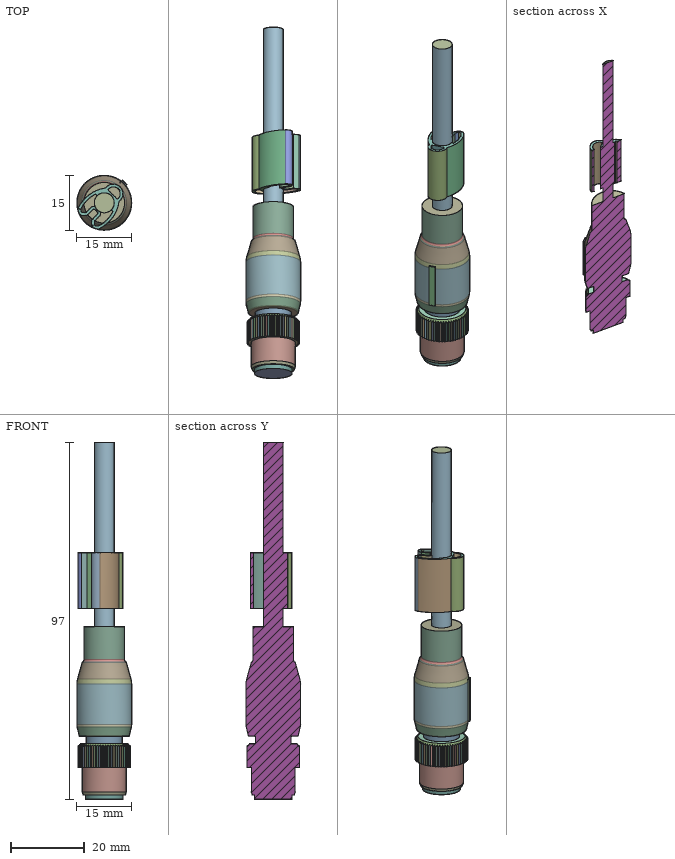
import cadquery as cq
import math

total_height = 97.0
cable_radius = 2.7

nose_radius = 5.1
nose_top = 1.2
shell_radius = 6.0
shell_chamfer = 0.8
shell_chamfer_inset = 0.3

ring_bottom = 8.6
ring_top = 15.1
ring_radius = 7.2
crown_height = 0.8
crown_top_radius = 6.4
tooth_count = 60
tooth_depth = 0.4
tooth_tip_share = 0.2

neck_radius = 4.9
body_radius = 7.5
body_bottom = 17.1
body_bottom_radius = 6.8
body_bottom_round = 0.3
barrel_bottom = 20.0
barrel_top = 32.0
barrel_top_round = 4.85
barrel_bottom_round = 2.9
shoulder_top = 37.2
shoulder_top_radius = 6.0
shoulder_rim_round = 0.3
sleeve_radius = 5.5
sleeve_flare_radius = 0.9
sleeve_flare_reach = 0.3
sleeve_flare_top = 38.0
sleeve_top = 46.9

key_width = 1.7
key_reach = 7.9
key_depth = 1.0
key_height = barrel_top - barrel_bottom

clip_bottom = 51.8
clip_height = 15.2
clip_wall = 0.8
clip_turn = -45.0
arm_radius = 9.7
clip_half_width = 4.6
head_radius = 2.6
head_center_y = 3.5
head_floor_y = 3.2
lobe_radius = 1.65
lobe_center_x = 2.5
lobe_center_y = -5.2
notch_half_width = lobe_center_x - lobe_radius
lip_distance = 1.5
notch_end_y = -3.1
notch_corner_radius = 0.4


def disc(x, y, radius, height):
    return cq.Workplane("XY").center(x, y).circle(radius).extrude(height)


def box(x_min, x_max, y_min, y_max, height):
    size_x = x_max - x_min
    size_y = y_max - y_min
    return cq.Workplane("XY").box(size_x, size_y, height, centered=False).translate((x_min, y_min, 0))


def make_plug():
    """Nose and chamfered threaded shell below the coupling ring."""
    nose = disc(0, 0, nose_radius, nose_top)
    shell = (
        disc(0, 0, shell_radius, ring_bottom - nose_top)
        .faces("<Z")
        .chamfer(shell_chamfer, shell_chamfer_inset)
        .translate((0, 0, nose_top))
    )
    return nose.union(shell)


def make_ring():
    """Coupling ring with straight flat-tipped teeth, bevelled to a conical crown at the top."""
    pitch = 2 * math.pi / tooth_count
    root_radius = ring_radius - tooth_depth
    corners = (
        (ring_radius, -tooth_tip_share / 2),
        (ring_radius, tooth_tip_share / 2),
        (root_radius, 0.5),
    )
    outline = []
    for tooth in range(tooth_count):
        for radius, share in corners:
            angle = (tooth + share) * pitch
            outline.append((radius * math.cos(angle), radius * math.sin(angle)))

    height = ring_top - ring_bottom
    toothed = cq.Workplane("XY").polyline(outline).close().extrude(height)
    crown_inset = ring_radius - crown_top_radius
    envelope = disc(0, 0, ring_radius, height).faces(">Z").chamfer(crown_height, crown_inset)
    return toothed.intersect(envelope).translate((0, 0, ring_bottom))


def ring_edge_at(height):
    """Selector for the circular body edge at the given height."""
    margin = 0.1
    return cq.selectors.BoxSelector(
        (-body_radius, -body_radius, height - margin),
        (body_radius, body_radius, height + margin),
    )


def make_body():
    """Neck, barrel, tapered shoulder and sleeve turned about the cable axis."""
    neck = disc(0, 0, neck_radius, body_bottom - ring_bottom).translate((0, 0, ring_bottom))
    flare_foot_radius = sleeve_radius + sleeve_flare_reach
    flare_foot = sleeve_flare_top - math.sqrt(
        sleeve_flare_radius**2 - (sleeve_flare_radius - sleeve_flare_reach) ** 2
    )
    body = (
        cq.Workplane("XZ")
        .moveTo(0, body_bottom)
        .lineTo(body_bottom_radius, body_bottom)
        .lineTo(body_radius, barrel_bottom)
        .lineTo(body_radius, barrel_top)
        .lineTo(shoulder_top_radius, shoulder_top)
        .lineTo(flare_foot_radius, flare_foot)
        .radiusArc((sleeve_radius, sleeve_flare_top), sleeve_flare_radius)
        .lineTo(sleeve_radius, sleeve_top)
        .lineTo(0, sleeve_top)
        .close()
        .revolve(360, (0, 0, 0), (0, 1, 0))
    )
    body = body.edges(ring_edge_at(body_bottom)).fillet(body_bottom_round)
    body = body.edges(ring_edge_at(shoulder_top)).fillet(shoulder_rim_round)
    body = body.edges(ring_edge_at(barrel_top)).fillet(barrel_top_round)
    body = body.edges(ring_edge_at(barrel_bottom)).fillet(barrel_bottom_round)
    return neck.union(body)


def make_key():
    """Small block standing proud of the barrel on its +X+Y side."""
    key = box(-key_width / 2, key_width / 2, key_reach - key_depth, key_reach, key_height)
    return key.rotate((0, 0, 0), (0, 0, 1), clip_turn).translate((0, 0, barrel_bottom))


def make_arms(inset):
    """Two bowed arms that run tangentially into lobes, with a notch between the lobes.

    A 45 degree flat cuts each lobe beside the notch, so that its mouth flares open.
    A positive inset shrinks the section evenly, which gives the hollow inside the wall.
    """
    bow_center_x = clip_half_width - arm_radius
    reach_x = lobe_center_x - bow_center_x
    reach_y = math.sqrt((arm_radius - lobe_radius) ** 2 - reach_x**2)
    bow_center_y = lobe_center_y + reach_y
    bow = arm_radius - inset
    lobe = lobe_radius - inset
    tangent_x = lobe_center_x + lobe * reach_x / (arm_radius - lobe_radius)
    tangent_y = lobe_center_y - lobe * reach_y / (arm_radius - lobe_radius)
    lip = lip_distance - inset
    lip_half_length = math.sqrt(lobe**2 - lip**2)
    lip_x = lobe_center_x - lobe
    lip_corner_y = lobe_center_y + lobe - math.sqrt(2) * lip
    lip_end_x = lobe_center_x + (lip_half_length - lip) / math.sqrt(2)
    lip_end_y = lobe_center_y - (lip_half_length + lip) / math.sqrt(2)
    peak_y = bow_center_y + math.sqrt(bow**2 - bow_center_x**2)
    side = (
        cq.Workplane("XY")
        .moveTo(0, lobe_center_y)
        .lineTo(lip_x, lobe_center_y)
        .lineTo(lip_x, lip_corner_y)
        .lineTo(lip_end_x, lip_end_y)
        .radiusArc((tangent_x, tangent_y), -lobe)
        .threePointArc((bow_center_x + bow, bow_center_y), (0, peak_y))
        .close()
        .extrude(clip_height)
    )
    notch_half = notch_half_width + inset
    notch = (
        box(-notch_half, notch_half, lobe_center_y, notch_end_y + inset, clip_height)
        .edges("|Z and >Y")
        .fillet(notch_corner_radius + inset)
    )
    return side.union(side.mirror("YZ")).cut(notch)


def make_clip():
    """Label clip: solid around the upper half of the cable, hollow in its head and lobes."""
    below_cable = box(-clip_half_width, clip_half_width, 2 * lobe_center_y, 0, clip_height)
    above_floor = box(-head_radius, head_radius, head_floor_y, head_center_y + head_radius, clip_height)
    head_hollow = disc(0, head_center_y, head_radius - clip_wall, clip_height).intersect(above_floor)
    arm_hollow = make_arms(clip_wall).intersect(below_cable)
    clip = (
        make_arms(0)
        .union(disc(0, head_center_y, head_radius, clip_height))
        .cut(head_hollow)
        .cut(arm_hollow)
    )
    return clip.rotate((0, 0, 0), (0, 0, 1), clip_turn).translate((0, 0, clip_bottom))


cable = disc(0, 0, cable_radius, total_height - body_bottom).translate((0, 0, body_bottom))

result = (
    make_plug()
    .union(make_ring())
    .union(make_body())
    .union(make_key())
    .union(cable)
    .union(make_clip())
)